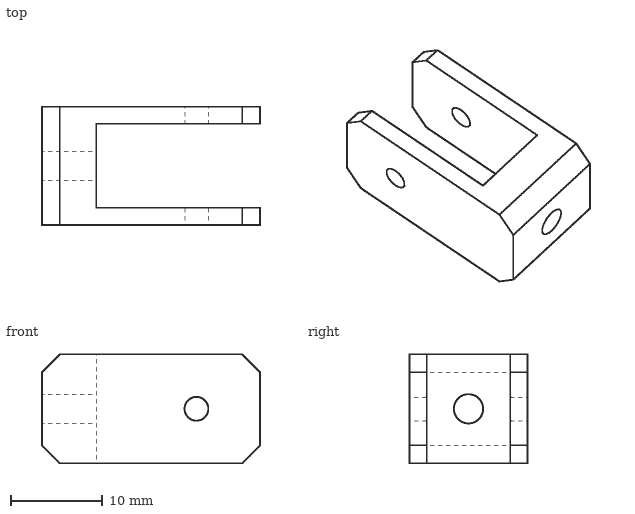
import cadquery as cq

length = 24.0
width = 13.0
height = 12.0

corner_chamfer = 2.0
base_thickness = 6.0
slot_width = 9.2
pin_diameter = 2.6
pin_x = 17.0
shank_diameter = 3.2

body = cq.Workplane("XY").box(length, width, height, centered=(False, True, True))
body = body.edges("|Y").chamfer(corner_chamfer)

slot = (
    cq.Workplane("XY")
    .box(length - base_thickness, slot_width, height, centered=(False, True, True))
    .translate((base_thickness, 0, 0))
)

pin_hole = (
    cq.Workplane("XZ")
    .center(pin_x, 0)
    .circle(pin_diameter / 2)
    .extrude(width / 2, both=True)
)

shank_hole = cq.Workplane("YZ").circle(shank_diameter / 2).extrude(base_thickness)

result = body.cut(slot).cut(pin_hole).cut(shank_hole)